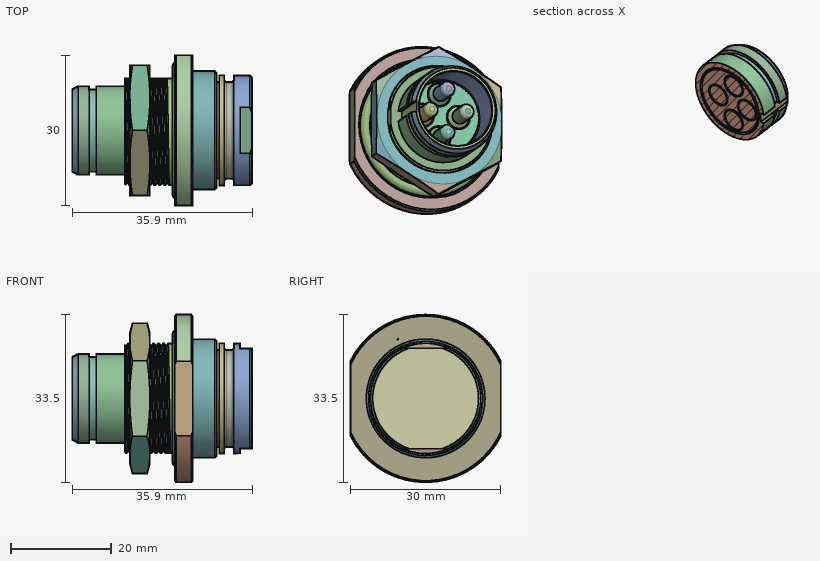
import cadquery as cq
import math

SHELL_CHAMFER_END = 1.2
SHELL_GROOVE = (3.4, 4.8)
THREAD_START = 10.5
NUT_START = 11.5
NUT_THICKNESS = 4.0
FLANGE_START = 20.45
FLANGE_END = 24.05
BODY_END = 28.85
SEAL_RING = (29.3, 30.35)
TAIL_START = 32.25
TAIL_FLAT_START = 33.5
TAIL_END = 35.9

CUT_MARGIN = 0.1

SHELL_RADIUS = 8.9
SHELL_NOSE_RADIUS = 8.25
SHELL_GROOVE_RADIUS = 8.28
THREAD_RADIUS = 10.97
FLANGE_RADIUS = 16.75
BODY_RADIUS = 11.85
SEAL_RING_RADIUS = 11.03
TAIL_NECK_RADIUS = 9.7
TAIL_NECK_FILLET = 0.4
TAIL_RADIUS = 11.0

FLANGE_CHAMFER = 0.33
BODY_CHAMFER = 0.45
TAIL_CHAMFER = 0.45

FLANGE_FLAT_DISTANCE = 15.0
THREAD_FLAT_DISTANCE = 10.38
TAIL_FLAT_DISTANCE = 10.0

THREAD_PITCH = 1.0
THREAD_DEPTH = 0.45
THREAD_CREST = 0.15
THREAD_ROOT = 0.2
THREAD_LEAD_IN = THREAD_DEPTH / 2
THREAD_FIRST_ROOT = 9.74
THREAD_TURNS = 9.5

NUT_ACROSS_FLATS = 26.0
NUT_BORE_RADIUS = 10.76
NUT_FACE_RADIUS = NUT_ACROSS_FLATS / 2
NUT_CHAMFER_ANGLE = 15.0

GASKET_GROOVE = (THREAD_RADIUS, 14.1)
GASKET_GROOVE_DEPTH = 1.2
GASKET_RADIUS = 1.0
GASKET_CENTRE_RADIUS = 12.7
GASKET_FRONT = 20.0

KEY_SLOT_WIDTH = 2.1
KEY_SLOT_BOTTOM = 8.12

SOCKET_RADIUS = 7.55
SOCKET_CHAMFER = 0.12
SOCKET_DEPTH = 8.1
INSERT_GAP = (7.25, SOCKET_RADIUS)
INSERT_GAP_DEPTH = 0.5
PIN_RADIUS = 1.5
PIN_TIP_RADIUS = 0.53
PIN_TIP_X = 1.52
PIN_COLLAR_RADIUS = 2.25
PIN_COLLAR_LENGTH = 0.8
PIN_WELL_RADIUS = 2.4
PIN_WELL_DEPTH = 0.3
PIN_POSITIONS = [(4.47, 0), (-2.98, 0), (1.0, 4.4), (1.0, -4.4)]


def revolve_about_x(profile):
    return profile.close().revolve(360, (0, 0, 0), (1, 0, 0))


def cylinder(start, end, radius, y=0, z=0):
    return cq.Workplane("YZ", origin=(start, y, z)).circle(radius).extrude(end - start)


def ring(start, end, inner_radius, outer_radius):
    return cylinder(start, end, outer_radius).cut(cylinder(start, end, inner_radius))


def make_plug_shell():
    nose = cq.Workplane("XY").moveTo(0, 0).lineTo(0, SHELL_NOSE_RADIUS)
    nose = nose.lineTo(SHELL_CHAMFER_END, SHELL_RADIUS).lineTo(THREAD_START, SHELL_RADIUS)
    shell = revolve_about_x(nose.lineTo(THREAD_START, 0))
    shell = shell.cut(ring(*SHELL_GROOVE, SHELL_GROOVE_RADIUS, SHELL_RADIUS + CUT_MARGIN))
    slot_depth = SHELL_RADIUS - KEY_SLOT_BOTTOM + CUT_MARGIN
    slot = cq.Workplane("XY").box(THREAD_START, slot_depth, KEY_SLOT_WIDTH, centered=(False, False, True))
    return shell.cut(slot.translate((0, KEY_SLOT_BOTTOM, 0)))


def make_thread_groove():
    """Helical groove along X, its profile reaching past the crest so that it cuts cleanly."""
    slope = (THREAD_PITCH - THREAD_CREST - THREAD_ROOT) / 2 / THREAD_DEPTH
    root_radius = THREAD_RADIUS - THREAD_DEPTH
    outer_radius = THREAD_RADIUS + CUT_MARGIN
    root_half = THREAD_ROOT / 2
    outer_half = root_half + slope * (outer_radius - root_radius)
    helix = cq.Wire.makeHelix(THREAD_PITCH, THREAD_TURNS * THREAD_PITCH, root_radius)
    profile = cq.Workplane("XZ").moveTo(root_radius, -root_half).lineTo(outer_radius, -outer_half)
    profile = profile.lineTo(outer_radius, outer_half).lineTo(root_radius, root_half).close()
    groove = profile.sweep(cq.Workplane(obj=helix), isFrenet=True)
    groove = groove.rotate((0, 0, 0), (0, 0, 1), 180).rotate((0, 0, 0), (0, 1, 0), 90)
    return groove.translate((THREAD_FIRST_ROOT, 0, 0))


def make_threaded_barrel():
    barrel = cylinder(THREAD_START, FLANGE_END, THREAD_RADIUS)
    barrel = barrel.faces("<X").chamfer(THREAD_LEAD_IN, THREAD_DEPTH)
    barrel = barrel.cut(make_thread_groove())
    size = 2 * FLANGE_RADIUS
    flat = cq.Workplane("XY").box(size, size, size, centered=(True, False, True))
    return barrel.cut(flat.translate((THREAD_START, THREAD_FLAT_DISTANCE, 0)))


def make_flange():
    flange = cylinder(FLANGE_START, FLANGE_END, FLANGE_RADIUS).edges().chamfer(FLANGE_CHAMFER)
    length = FLANGE_END - FLANGE_START
    limits = cq.Workplane("XY").box(length, 2 * FLANGE_FLAT_DISTANCE, 2 * FLANGE_RADIUS)
    flange = flange.intersect(limits.translate((FLANGE_START + length / 2, 0, 0)))
    groove = ring(FLANGE_START, FLANGE_START + GASKET_GROOVE_DEPTH, *GASKET_GROOVE)
    gasket = cq.Solid.makeTorus(
        GASKET_CENTRE_RADIUS,
        GASKET_RADIUS,
        cq.Vector(GASKET_FRONT + GASKET_RADIUS, 0, 0),
        cq.Vector(1, 0, 0),
    )
    return flange.cut(groove).union(gasket)


def make_nut():
    """Hex nut with corners at +Z and -Z, both faces chamfered; its bore grips the thread crests."""
    corner_radius = NUT_FACE_RADIUS / math.cos(math.pi / 6)
    nut = cq.Workplane("YZ", origin=(NUT_START, 0, 0)).polygon(6, 2 * corner_radius).extrude(NUT_THICKNESS)
    nut = nut.rotate((0, 0, 0), (1, 0, 0), 90)
    rim_radius = corner_radius + CUT_MARGIN
    rim_drop = (rim_radius - NUT_FACE_RADIUS) * math.tan(math.radians(NUT_CHAMFER_ANGLE))
    end = NUT_START + NUT_THICKNESS
    envelope = cq.Workplane("XY").moveTo(NUT_START, 0).lineTo(NUT_START, NUT_FACE_RADIUS)
    envelope = envelope.lineTo(NUT_START + rim_drop, rim_radius).lineTo(end - rim_drop, rim_radius)
    envelope = envelope.lineTo(end, NUT_FACE_RADIUS).lineTo(end, 0)
    nut = nut.intersect(revolve_about_x(envelope))
    return nut.cut(cylinder(NUT_START, end, NUT_BORE_RADIUS))


def make_neck_fillet(wall, direction):
    """Concave ring between the neck and a wall; direction is the side of the wall it lies on."""
    toe = wall + direction * TAIL_NECK_FILLET
    crest_radius = TAIL_NECK_RADIUS + TAIL_NECK_FILLET
    profile = cq.Workplane("XY").moveTo(wall, 0).lineTo(wall, crest_radius)
    profile = profile.radiusArc((toe, TAIL_NECK_RADIUS), -direction * TAIL_NECK_FILLET)
    return revolve_about_x(profile.lineTo(toe, 0))


def make_tail():
    tail = cylinder(TAIL_START, TAIL_END, TAIL_RADIUS).faces(">X").chamfer(TAIL_CHAMFER)
    flat_length = TAIL_END - TAIL_FLAT_START
    for side in (1, -1):
        flat = cq.Workplane("XY").box(flat_length, 2 * TAIL_RADIUS, TAIL_RADIUS, centered=(False, True, True))
        flat_centre_z = side * (TAIL_FLAT_DISTANCE + TAIL_RADIUS / 2)
        tail = tail.cut(flat.translate((TAIL_FLAT_START, 0, flat_centre_z)))
    return tail


def make_rear_body():
    body = cylinder(FLANGE_END, BODY_END, BODY_RADIUS).faces(">X").chamfer(BODY_CHAMFER)
    core = cylinder(BODY_END, TAIL_START, TAIL_NECK_RADIUS)
    seal_ring = cylinder(*SEAL_RING, SEAL_RING_RADIUS)
    for wall, direction in ((SEAL_RING[1], 1), (TAIL_START, -1)):
        core = core.union(make_neck_fillet(wall, direction))
    return body.union(core).union(seal_ring).union(make_tail())


def cut_socket(part):
    part = part.cut(cylinder(0, SOCKET_DEPTH, SOCKET_RADIUS))
    mouth = cq.Workplane("XY").lineTo(0, SOCKET_RADIUS + SOCKET_CHAMFER)
    mouth = revolve_about_x(mouth.lineTo(SOCKET_CHAMFER, SOCKET_RADIUS).lineTo(SOCKET_CHAMFER, 0))
    return part.cut(mouth).cut(ring(SOCKET_DEPTH, SOCKET_DEPTH + INSERT_GAP_DEPTH, *INSERT_GAP))


def make_pin(y, z):
    """Contact pin with a rounded, flat-ended tip and a flared collar at its foot."""
    dome = PIN_RADIUS - PIN_TIP_RADIUS
    foot = SOCKET_DEPTH + PIN_WELL_DEPTH
    half = cq.Workplane("XY").moveTo(PIN_TIP_X, 0).lineTo(PIN_TIP_X, PIN_TIP_RADIUS)
    half = half.radiusArc((PIN_TIP_X + dome, PIN_RADIUS), dome)
    half = half.lineTo(SOCKET_DEPTH - PIN_COLLAR_LENGTH, PIN_RADIUS)
    half = half.lineTo(SOCKET_DEPTH, PIN_COLLAR_RADIUS).lineTo(foot, PIN_COLLAR_RADIUS)
    return revolve_about_x(half.lineTo(foot, 0)).translate((0, y, z))


def add_pins(part):
    for y, z in PIN_POSITIONS:
        part = part.cut(cylinder(SOCKET_DEPTH, SOCKET_DEPTH + PIN_WELL_DEPTH, PIN_WELL_RADIUS, y, z))
        part = part.union(make_pin(y, z))
    return part


result = make_plug_shell().union(make_threaded_barrel()).union(make_nut())
result = result.union(make_flange()).union(make_rear_body())
result = add_pins(cut_socket(result))